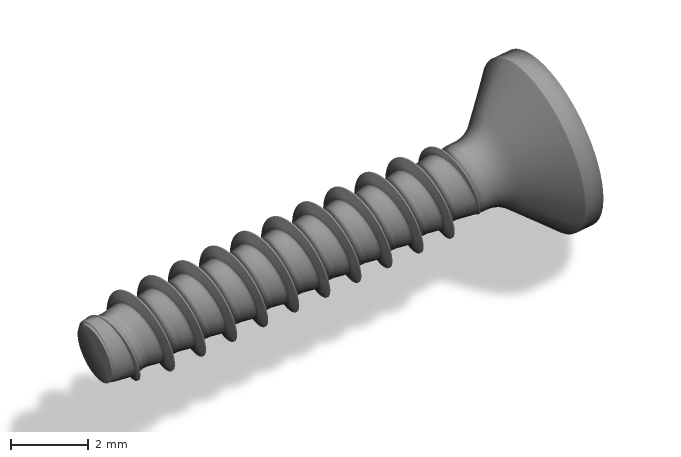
import math

import cadquery as cq


head_radius = 2.5
rim_height = 0.55
head_cone_angle = math.radians(45)
shank_radius = 0.97
neck_fillet_radius = 1.0
shank_end_station = 2.70

core_radius = 0.87
core_start_station = 3.35
tip_taper_start_station = 13.6
tip_radius = 0.825
length = 14.0
tip_cone_height = 0.03
tip_edge_station = length - tip_cone_height

thread_radius = 1.25
pitch = 0.95
turn_count = 12
thread_start_station = length - turn_count * pitch
crest_half_width = 0.015
fade_out_end_turn = 11.65
least_height_fraction = 0.03
points_per_turn = 25

head_foot_radius = 0.92
head_flank_width = 0.105
tip_foot_radius = 0.94
tip_flank_width = 0.125
buried_radius = 0.855
head_root_offset = -0.28
tip_root_offset = 0.65


def make_screw_body():
    """Head, filleted neck, shank and core as one turned solid."""
    cone_end_radius = shank_radius + neck_fillet_radius * (1 - math.cos(head_cone_angle))
    cone_end_station = rim_height + (head_radius - cone_end_radius) / math.tan(head_cone_angle)
    fillet_end_station = cone_end_station + neck_fillet_radius * math.sin(head_cone_angle)
    fillet_middle = (
        shank_radius + neck_fillet_radius * (1 - math.cos(head_cone_angle / 2)),
        -(fillet_end_station - neck_fillet_radius * math.sin(head_cone_angle / 2)),
    )
    return (
        cq.Workplane("ZY")
        .lineTo(head_radius, 0)
        .lineTo(head_radius, -rim_height)
        .lineTo(cone_end_radius, -cone_end_station)
        .threePointArc(fillet_middle, (shank_radius, -fillet_end_station))
        .lineTo(shank_radius, -shank_end_station)
        .lineTo(core_radius, -core_start_station)
        .lineTo(core_radius, -tip_taper_start_station)
        .lineTo(tip_radius, -tip_edge_station)
        .lineTo(0, -length)
        .close()
        .revolve(360, (0, 0, 0), (0, 1, 0))
    )


def ridge_profile(turns):
    """Ridge section after the given number of turns, as (offset from crest, radius) corners."""
    fraction = min(1, max(least_height_fraction, min(turns, fade_out_end_turn - turns)))
    crest_radius = tip_foot_radius + fraction * (thread_radius - tip_foot_radius)
    return [
        (head_root_offset, buried_radius),
        (-crest_half_width - fraction * head_flank_width, head_foot_radius),
        (-crest_half_width, crest_radius),
        (crest_half_width, crest_radius),
        (crest_half_width + fraction * tip_flank_width, tip_foot_radius),
        (tip_root_offset, buried_radius),
    ]


def ridge_points(turns):
    """Ridge corners in space; the thread starts on the -Z side and turns towards +X."""
    angle = 2 * math.pi * turns
    crest_station = thread_start_station + pitch * turns
    return [
        cq.Vector(radius * math.sin(angle), -(crest_station + offset), -radius * math.cos(angle))
        for offset, radius in ridge_profile(turns)
    ]


def make_thread():
    """Helical ridge, closed by ruled faces turn by turn and flat caps at both ends."""
    faces = []
    for turn in range(turn_count):
        sections = [ridge_points(turn + step / points_per_turn) for step in range(points_per_turn + 1)]
        edges = [cq.Edge.makeSpline(list(corner_path)) for corner_path in zip(*sections)]
        for edge, next_edge in zip(edges, edges[1:] + edges[:1]):
            faces.append(cq.Face.makeRuledSurface(edge, next_edge))
    for turns in (0, turn_count):
        faces.append(cq.Face.makeFromWires(cq.Wire.makePolygon(ridge_points(turns), close=True)))
    ridge = cq.Solid.makeSolid(cq.Shell.makeShell(faces))
    return cq.Workplane(ridge.fix())


def make_tip_trim():
    """Turned block that trims the ridge flush with the tip edge and bevels it there at 45 degrees."""
    return (
        cq.Workplane("ZY")
        .moveTo(0, -tip_edge_station)
        .lineTo(tip_radius, -tip_edge_station)
        .lineTo(thread_radius, -tip_edge_station + thread_radius - tip_radius)
        .lineTo(2 * thread_radius, -tip_edge_station + thread_radius - tip_radius)
        .lineTo(2 * thread_radius, -length - pitch)
        .lineTo(0, -length - pitch)
        .close()
        .revolve(360, (0, 0, 0), (0, 1, 0))
    )


thread = make_thread().cut(make_tip_trim())
result = make_screw_body().union(thread)